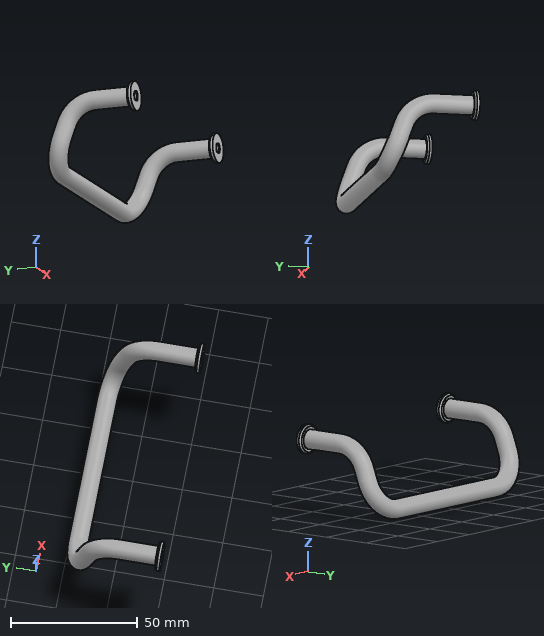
import cadquery as cq
import math

hole_spacing = 88.0
rod_diameter = 8.0
bend_radius = 13.0
grip_reach = 36.0
grip_drop = 26.0
drop_angle = 70.0

flange_diameter = 12.0
flange_thickness = 2.0
flange_chamfer = 0.8

hole_diameter = 3.3
hole_mouth_diameter = 4.0
hole_depth = 10.0
drill_point_angle = 118.0

rod_radius = rod_diameter / 2
leg_x = hole_spacing / 2
drop_radians = math.radians(drop_angle)
drop_y = math.cos(drop_radians)
drop_z = -math.sin(drop_radians)

corner_y = grip_reach - grip_drop / math.tan(drop_radians)
bend_start_y = corner_y - bend_radius * math.tan(drop_radians / 2)


def bend_point(angle):
    """Point on the leg bend's centre line after turning by the angle, as (y, z)."""
    return (
        bend_start_y + bend_radius * math.sin(angle),
        -bend_radius * (1 - math.cos(angle)),
    )


def grip_plane_point(x, height):
    """Point in the sloping plane, at a height measured up the slope from the grip axis."""
    return (x, grip_reach - height * drop_y, -grip_drop - height * drop_z)


def make_path():
    """Centre line of the rod, from one mounting plane to the other."""
    bend_middle_y, bend_middle_z = bend_point(drop_radians / 2)
    bend_end_y, bend_end_z = bend_point(drop_radians)
    corner_inset = bend_radius * (1 - math.sqrt(0.5))
    grip_end_x = leg_x - bend_radius

    def leg_edges(side):
        x = side * leg_x
        leg_foot = cq.Vector(x, 0, 0)
        leg_bend_start = cq.Vector(x, bend_start_y, 0)
        leg_bend_middle = cq.Vector(x, bend_middle_y, bend_middle_z)
        leg_bend_end = cq.Vector(x, bend_end_y, bend_end_z)
        grip_bend_start = cq.Vector(*grip_plane_point(x, bend_radius))
        grip_bend_middle = cq.Vector(*grip_plane_point(side * (leg_x - corner_inset), corner_inset))
        grip_bend_end = cq.Vector(*grip_plane_point(side * grip_end_x, 0))
        return [
            cq.Edge.makeLine(leg_foot, leg_bend_start),
            cq.Edge.makeThreePointArc(leg_bend_start, leg_bend_middle, leg_bend_end),
            cq.Edge.makeLine(leg_bend_end, grip_bend_start),
            cq.Edge.makeThreePointArc(grip_bend_start, grip_bend_middle, grip_bend_end),
        ]

    grip = cq.Edge.makeLine(
        cq.Vector(*grip_plane_point(-grip_end_x, 0)),
        cq.Vector(*grip_plane_point(grip_end_x, 0)),
    )
    return cq.Wire.assembleEdges(leg_edges(-1) + [grip] + leg_edges(1))


def make_rod():
    profile = cq.Workplane("XZ", origin=(-leg_x, 0, 0)).circle(rod_radius)
    return profile.sweep(cq.Workplane(make_path()))


def revolve_about_leg(points, x):
    """Revolve an outline of (radius, y) points about the leg axis at x."""
    outline = cq.Workplane("XY", origin=(x, 0, 0)).polyline(points).close()
    return outline.revolve(360, (0, 0, 0), (0, 1, 0))


def make_flange(x):
    flange_radius = flange_diameter / 2
    return revolve_about_leg(
        [
            (0, 0),
            (flange_radius, 0),
            (flange_radius, flange_thickness - flange_chamfer),
            (flange_radius - flange_chamfer, flange_thickness),
            (0, flange_thickness),
        ],
        x,
    )


def make_hole(x):
    """Blind screw hole with a 90 degree countersunk mouth and a drill-point bottom."""
    hole_radius = hole_diameter / 2
    mouth_radius = hole_mouth_diameter / 2
    mouth_depth = mouth_radius - hole_radius
    point_depth = hole_radius / math.tan(math.radians(drill_point_angle / 2))
    return revolve_about_leg(
        [
            (0, 0),
            (mouth_radius, 0),
            (hole_radius, mouth_depth),
            (hole_radius, hole_depth),
            (0, hole_depth + point_depth),
        ],
        x,
    )


result = make_rod()
for side in (-1, 1):
    result = result.union(make_flange(side * leg_x))
for side in (-1, 1):
    result = result.cut(make_hole(side * leg_x))